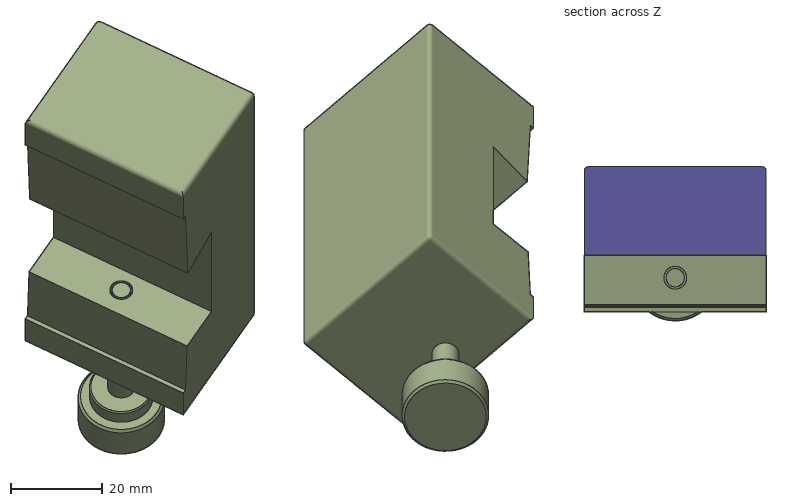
import cadquery as cq
import math

block_width = 40.0
block_depth = 31.9
block_height = 84.0
edge_radius = 1.0

lip_height = 9.0
lip_step = 1.0
face_taper = 2.4
web_depth = 19.5
lower_jaw_z = 24.8
upper_jaw_root_z = 54.9
upper_jaw_slope = 15.0

screw_y = -24.4
screw_diameter = 6.0
screw_top_z = lower_jaw_z / 2

pin_diameter = 4.0
pin_hole_diameter = 5.0

knob_diameter = 19.0
knob_height = 9.1
hub_diameter = 14.0
hub_height = 3.6
knob_chamfer = 0.5
hub_chamfer = 0.3
knob_bottom_z = block_height - 108.5
knob_top_z = knob_bottom_z + knob_height
hub_top_z = knob_top_z + hub_height
screw_seat_z = (knob_bottom_z + knob_top_z) / 2


def rod(diameter, bottom_z, top_z):
    """Upright cylinder on the screw axis."""
    return (
        cq.Workplane("XY", origin=(0, screw_y, bottom_z))
        .circle(diameter / 2)
        .extrude(top_z - bottom_z)
    )


def block_envelope():
    """Rounded box; the two upright edges at the front stay sharp."""
    box = cq.Workplane("XY").box(block_width, block_depth, block_height, centered=(True, False, False))
    box = box.translate((0, -block_depth, 0))
    return box.edges("(|Z and >Y) or <Z or >Z").fillet(edge_radius)


def jaw_cutter():
    """Everything removed from the front between the two flat bands."""
    band_y = lip_step - block_depth
    web_y = -web_depth
    taper = math.tan(math.radians(face_taper))
    slope = math.tan(math.radians(upper_jaw_slope))
    upper_band_z = block_height - lip_height

    lower_tip_y = band_y + taper * (lower_jaw_z - lip_height)

    face_drop = upper_band_z - upper_jaw_root_z
    upper_reach = (web_y - band_y - taper * face_drop) / (1 + taper * slope)
    upper_tip = (web_y - upper_reach, upper_jaw_root_z - slope * upper_reach)

    clear_y = -block_depth - lip_step
    profile = [
        (clear_y, lip_height),
        (band_y, lip_height),
        (lower_tip_y, lower_jaw_z),
        (web_y, lower_jaw_z),
        (web_y, upper_jaw_root_z),
        upper_tip,
        (band_y, upper_band_z),
        (clear_y, upper_band_z),
    ]
    return cq.Workplane("YZ").polyline(profile).close().extrude(block_width, both=True)


def make_block():
    screw_hole = rod(screw_diameter, 0, screw_top_z)
    pin_hole = rod(pin_hole_diameter, screw_top_z, lower_jaw_z)
    return block_envelope().cut(jaw_cutter()).cut(screw_hole).cut(pin_hole)


def make_screw():
    return rod(screw_diameter, screw_seat_z, screw_top_z)


def make_pin():
    return rod(pin_diameter, screw_top_z, lower_jaw_z)


def make_knob():
    grip = rod(knob_diameter, knob_bottom_z, knob_top_z).edges().chamfer(knob_chamfer)
    hub = rod(hub_diameter, knob_top_z, hub_top_z).edges(">Z").chamfer(hub_chamfer)
    bore = rod(screw_diameter, screw_seat_z, hub_top_z)
    return grip.union(hub).cut(bore)


block = make_block()
screw = make_screw()
pin = make_pin()
knob = make_knob()

result = cq.Compound.makeCompound([body.solids().val() for body in (block, screw, pin, knob)])